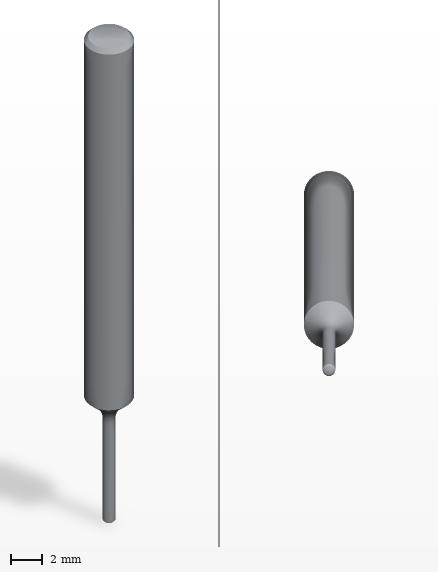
import cadquery as cq
import math

total_length = 38.1
shank_diameter = 3.15
neck_diameter = 0.8
cutter_diameter = neck_diameter

top_chamfer = 0.25
taper_top_z = 9.9
taper_angle = math.radians(45)
neck_fillet_radius = 1.52

cutter_top_z = 7.15
tip_chamfer = 0.1
tip_point_height = 0.08

base_z = -total_length / 2
shank_radius = shank_diameter / 2
neck_radius = neck_diameter / 2
cutter_radius = cutter_diameter / 2


def revolve_about_z(profile):
    """Turn a closed radius-height profile about the tool axis."""
    return profile.close().revolve(360, (0, 0, 0), (0, 1, 0)).translate((0, 0, base_z))


def make_shank():
    """Chamfered shank with a conical taper blended tangentially into the neck."""
    taper_foot_z = taper_top_z - (shank_radius - neck_radius) / math.tan(taper_angle)
    fillet_end_z = taper_foot_z - neck_fillet_radius * math.tan(taper_angle / 2)
    fillet_center_r = neck_radius + neck_fillet_radius

    def fillet_point(angle):
        return (
            fillet_center_r - neck_fillet_radius * math.cos(angle),
            fillet_end_z + neck_fillet_radius * math.sin(angle),
        )

    profile = (
        cq.Workplane("XZ")
        .moveTo(0, cutter_top_z)
        .lineTo(neck_radius, cutter_top_z)
        .lineTo(neck_radius, fillet_end_z)
        .threePointArc(fillet_point(taper_angle / 2), fillet_point(taper_angle))
        .lineTo(shank_radius, taper_top_z)
        .lineTo(shank_radius, total_length - top_chamfer)
        .lineTo(shank_radius - top_chamfer, total_length)
        .lineTo(0, total_length)
    )
    return revolve_about_z(profile)


def make_cutter():
    """Slender cylindrical cutter with a chamfered rim and a shallow conical point."""
    profile = (
        cq.Workplane("XZ")
        .moveTo(0, 0)
        .lineTo(cutter_radius - tip_chamfer, tip_point_height)
        .lineTo(cutter_radius, tip_point_height + tip_chamfer)
        .lineTo(cutter_radius, cutter_top_z)
        .lineTo(0, cutter_top_z)
    )
    return revolve_about_z(profile)


shank = make_shank()
cutter = make_cutter()

result = cq.Compound.makeCompound([shank.val(), cutter.val()])